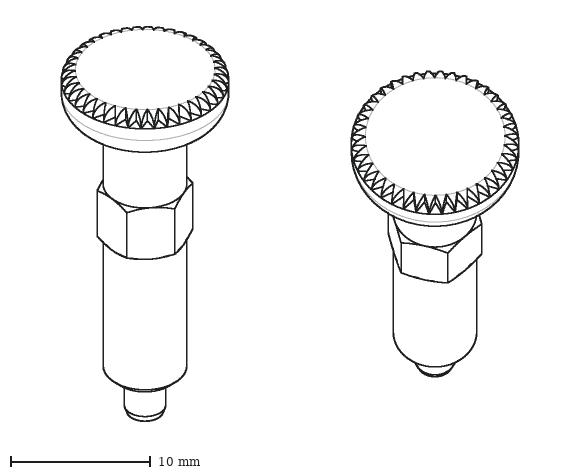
import cadquery as cq
import math

total_length = 29.98

knob_radius = 6.0
knob_height = 2 * knob_radius / 3
knob_bottom_round = knob_height / 2
knob_bottom_z = total_length - knob_height

tooth_count = 40
tooth_depth = knob_height / 4
tooth_tip_radius = knob_radius
tooth_root_radius = knob_radius - tooth_depth
tooth_floor_z = total_length - tooth_depth

neck_radius = 3.0
neck_fillet = 0.8

pin_radius = 1.5
tip_taper_length = 0.55
tip_edge_radius = 1.32
tip_dome_height = 0.15
tip_start_z = tip_dome_height + tip_taper_length

sleeve_top_z = 19.97
sleeve_bottom_z = 3.48
sleeve_radius = neck_radius
sleeve_end_chamfer = 0.6
hex_height = 4.5
hex_across_flats = 2 * sleeve_radius
hex_chamfer_angle = 30.0
hex_bottom_z = sleeve_top_z - hex_height


def polar_point(radius, angle_degrees):
    angle = math.radians(angle_degrees)
    return radius * math.cos(angle), radius * math.sin(angle)


def arc_point(center_x, center_z, radius, angle_degrees):
    x, z = polar_point(radius, angle_degrees)
    return center_x + x, center_z + z


def make_tooth_ring():
    """Rounded disc cut to a star outline, so that V notches leave pointed teeth on a flat floor."""
    half_pitch = 180.0 / tooth_count
    star_points = []
    for tooth in range(tooth_count):
        root_angle = 2 * tooth * half_pitch
        star_points.append(polar_point(tooth_root_radius, root_angle))
        star_points.append(polar_point(tooth_tip_radius, root_angle + half_pitch))
    star = (
        cq.Workplane("XY")
        .workplane(offset=tooth_floor_z)
        .polyline(star_points)
        .close()
        .extrude(tooth_depth)
    )

    rounded_disc = (
        cq.Workplane("XZ")
        .moveTo(0, tooth_floor_z)
        .lineTo(knob_radius, tooth_floor_z)
        .threePointArc(
            arc_point(tooth_root_radius, tooth_floor_z, tooth_depth, 45),
            (tooth_root_radius, total_length),
        )
        .lineTo(0, total_length)
        .close()
        .revolve()
    )
    return star.intersect(rounded_disc)


def make_turned_knob_body():
    """Pin, neck and knob below the teeth, turned as one profile."""
    dome_radius = (tip_edge_radius ** 2 + tip_dome_height ** 2) / (2 * tip_dome_height)
    dome_half_angle = math.degrees(math.asin(tip_edge_radius / dome_radius))
    dome_middle = arc_point(0, dome_radius, dome_radius, dome_half_angle / 2 - 90)

    neck_fillet_x = neck_radius + neck_fillet
    neck_fillet_z = knob_bottom_z - neck_fillet
    knob_round_x = knob_radius - knob_bottom_round
    knob_round_z = knob_bottom_z + knob_bottom_round

    return (
        cq.Workplane("XZ")
        .moveTo(0, 0)
        .threePointArc(dome_middle, (tip_edge_radius, tip_dome_height))
        .lineTo(pin_radius, tip_start_z)
        .lineTo(pin_radius, sleeve_top_z)
        .lineTo(neck_radius, sleeve_top_z)
        .lineTo(neck_radius, neck_fillet_z)
        .threePointArc(
            arc_point(neck_fillet_x, neck_fillet_z, neck_fillet, 135),
            (neck_fillet_x, knob_bottom_z),
        )
        .lineTo(knob_round_x, knob_bottom_z)
        .threePointArc(
            arc_point(knob_round_x, knob_round_z, knob_bottom_round, -45),
            (knob_radius, knob_round_z),
        )
        .lineTo(knob_radius, tooth_floor_z)
        .lineTo(0, tooth_floor_z)
        .close()
        .revolve()
    )


def make_knob_pin():
    return make_turned_knob_body().union(make_tooth_ring())


def make_hexagon():
    """Hexagon with flats facing +Y and -Y, its corners chamfered at both ends."""
    corner_radius = hex_across_flats / 2 / math.cos(math.pi / 6)
    corner_drop = (corner_radius - sleeve_radius) * math.tan(math.radians(hex_chamfer_angle))
    prism = (
        cq.Workplane("XY")
        .workplane(offset=hex_bottom_z)
        .polygon(6, 2 * corner_radius)
        .extrude(hex_height)
    )
    chamfer_envelope = (
        cq.Workplane("XZ")
        .moveTo(0, hex_bottom_z)
        .lineTo(sleeve_radius, hex_bottom_z)
        .lineTo(corner_radius, hex_bottom_z + corner_drop)
        .lineTo(corner_radius, sleeve_top_z - corner_drop)
        .lineTo(sleeve_radius, sleeve_top_z)
        .lineTo(0, sleeve_top_z)
        .close()
        .revolve()
    )
    return prism.intersect(chamfer_envelope)


def make_sleeve():
    """Round barrel below the hexagon, bored through for the pin."""
    barrel = (
        cq.Workplane("XY")
        .workplane(offset=sleeve_bottom_z)
        .circle(sleeve_radius)
        .extrude(hex_bottom_z - sleeve_bottom_z)
        .faces("<Z")
        .chamfer(sleeve_end_chamfer)
    )
    bore = (
        cq.Workplane("XY")
        .workplane(offset=sleeve_bottom_z)
        .circle(pin_radius)
        .extrude(sleeve_top_z - sleeve_bottom_z)
    )
    return barrel.union(make_hexagon()).cut(bore)


knob_pin = make_knob_pin()
sleeve = make_sleeve()

result = cq.Compound.makeCompound([knob_pin.solids().val(), sleeve.solids().val()])